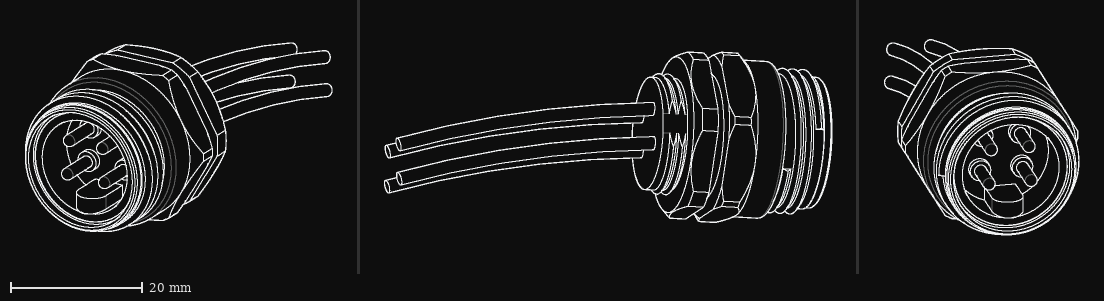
import cadquery as cq
import math


TOTAL_LENGTH = 67.2
ACROSS_FLATS = 24.0
BODY_RADIUS = ACROSS_FLATS / 2

COLLAR_FRONT = 7.85
FLANGE_FRONT = 12.4
FLANGE_REAR = 17.1
NUT_FRONT = 19.0
NUT_REAR = 22.6
BODY_REAR = 26.45

LIP_RADIUS = 10.0
RIM_CHAMFER = 0.3
COLLAR_ROUNDING = 0.55
SHANK_RADIUS = 10.2
SHANK_FRONT = 1.35

RIM_BORE_RADIUS = 9.3
RIM_BORE_DEPTH = 1.4
INSERT_RADIUS = 8.9
INSERT_FACE_DEPTH = 1.3
SOCKET_RADIUS = 7.6
SOCKET_DEPTH = 8.4

KEY_WIDTH = 4.85
KEY_TOP_Z = -5.0
KEY_TIP_DEPTH = 1.1

FLANGE_CORNER_RADIUS = 13.5
FLANGE_REAR_RADIUS = 12.55
FLANGE_REAR_CHAMFER = 0.6
NUT_CORNER_RADIUS = 12.95
NUT_CHAMFER = 1.1

SEAL_RADIUS = 10.0
SEAL_BULGE = 0.5

FRONT_PITCH = 1.6
FRONT_CREST_RADIUS = 11.1
FRONT_THREAD_START = 2.1
FRONT_THREAD_ANGLE = 180
FRONT_THREAD_TURNS = 2.9
FRONT_RIDGE_WIDTH = 1.35
REAR_PITCH = 1.4
REAR_ROOT_RADIUS = 8.6
REAR_CREST_RADIUS = 9.2
REAR_THREAD_START = 22.45
REAR_THREAD_ANGLE = -90
REAR_THREAD_TURNS = 2.4
REAR_RIDGE_WIDTH = 1.2
REAR_FLAT_SPACING = 16.9
RIDGE_OVERLAP = 0.1

UPPER_PIN_X = 2.95
UPPER_PIN_Z = 3.6
LOWER_PIN_X = 3.3
LOWER_PIN_Z = -1.95
PIN_RADIUS = 0.95
PIN_TIP_DEPTH = 0.75
PIN_COLLAR_RADIUS = 1.6
PIN_COLLAR_HEIGHT = 1.0
LOWER_WIRE_Z = -1.75
WIRE_RADIUS = 1.0
WIRE_BEND_START = 14.8
WIRE_BEND_RADIUS = 170.6


def rod(radius, front, rear, x=0, z=0):
    """Cylinder parallel to Y between two stations."""
    return cq.Workplane("XZ", origin=(x, front, z)).circle(radius).extrude(front - rear)


def revolved(points):
    """Turned shape from a closed (radius, Y) outline."""
    return cq.Workplane("XY").polyline(points).close().revolve(360, (0, 0, 0), (0, 1, 0))


def hexagon(front, rear, envelope):
    """Hexagonal prism with flats at top and bottom, its corners turned down to an envelope."""
    corner_diameter = ACROSS_FLATS / math.cos(math.pi / 6)
    prism = cq.Workplane("XZ", origin=(0, front, 0)).polygon(6, corner_diameter).extrude(front - rear)
    return prism.intersect(revolved(envelope))


def thread(root_radius, crest_radius, width, pitch, turns, start, start_angle):
    """Right-handed V ridge around Y; start_angle is measured from +X towards -Z."""
    base_radius = root_radius - RIDGE_OVERLAP
    path = cq.Wire.makeHelix(pitch, pitch * turns, base_radius)
    ridge = (
        cq.Workplane("XZ")
        .polyline([(base_radius, -width / 2), (crest_radius, 0), (base_radius, width / 2)])
        .close()
        .sweep(cq.Workplane(path), isFrenet=True)
    )
    ridge = ridge.rotate((0, 0, 0), (0, 0, 1), start_angle)
    return ridge.rotate((0, 0, 0), (1, 0, 0), -90).translate((0, start, 0))


def front_body():
    """Lip, threaded shank and collar turned in one piece, before the socket is bored."""
    lip = rod(LIP_RADIUS, 0, SHANK_FRONT).faces("<Y").chamfer(RIM_CHAMFER)
    collar = rod(BODY_RADIUS, COLLAR_FRONT, FLANGE_FRONT).faces("<Y").edges().fillet(COLLAR_ROUNDING)
    shank = rod(SHANK_RADIUS, SHANK_FRONT, COLLAR_FRONT)
    ridge = thread(
        SHANK_RADIUS, FRONT_CREST_RADIUS, FRONT_RIDGE_WIDTH,
        FRONT_PITCH, FRONT_THREAD_TURNS, FRONT_THREAD_START, FRONT_THREAD_ANGLE,
    )
    return shank.union(ridge).union(lip).union(collar)


def flange():
    """Fixed hexagon behind the collar, chamfered at 45 degrees towards the collar."""
    front_chamfer = FLANGE_CORNER_RADIUS - BODY_RADIUS
    return hexagon(FLANGE_FRONT, FLANGE_REAR, [
        (0, FLANGE_FRONT),
        (BODY_RADIUS, FLANGE_FRONT),
        (FLANGE_CORNER_RADIUS, FLANGE_FRONT + front_chamfer),
        (FLANGE_CORNER_RADIUS, FLANGE_REAR - FLANGE_REAR_CHAMFER),
        (FLANGE_REAR_RADIUS, FLANGE_REAR),
        (0, FLANGE_REAR),
    ])


def seal():
    """Disc whose rim bulges outwards between the flange and the nut."""
    edge_radius = SEAL_RADIUS - SEAL_BULGE
    return (
        cq.Workplane("XY")
        .moveTo(0, FLANGE_REAR)
        .lineTo(edge_radius, FLANGE_REAR)
        .threePointArc((SEAL_RADIUS, (FLANGE_REAR + NUT_FRONT) / 2), (edge_radius, NUT_FRONT))
        .lineTo(0, NUT_FRONT)
        .close()
        .revolve(360, (0, 0, 0), (0, 1, 0))
    )


def nut():
    """Lock nut, chamfered at 45 degrees on its rear side."""
    return hexagon(NUT_FRONT, NUT_REAR, [
        (0, NUT_FRONT),
        (NUT_CORNER_RADIUS, NUT_FRONT),
        (NUT_CORNER_RADIUS, NUT_REAR - NUT_CHAMFER),
        (NUT_CORNER_RADIUS - NUT_CHAMFER, NUT_REAR),
        (0, NUT_REAR),
    ])


def rear_end():
    """Threaded rear end with a flat on each side."""
    core = rod(REAR_ROOT_RADIUS, NUT_FRONT, BODY_REAR)
    ridge = thread(
        REAR_ROOT_RADIUS, REAR_CREST_RADIUS, REAR_RIDGE_WIDTH,
        REAR_PITCH, REAR_THREAD_TURNS, REAR_THREAD_START, REAR_THREAD_ANGLE,
    )
    between_flats = cq.Workplane("XY").box(REAR_FLAT_SPACING, 2 * BODY_REAR, ACROSS_FLATS)
    return core.union(ridge).intersect(between_flats)


def socket():
    """Space removed from the front: rim bore, ring around the insert, and the socket itself."""
    return revolved([
        (0, 0),
        (RIM_BORE_RADIUS, 0),
        (RIM_BORE_RADIUS, RIM_BORE_DEPTH),
        (INSERT_RADIUS, RIM_BORE_DEPTH),
        (INSERT_RADIUS, INSERT_FACE_DEPTH),
        (SOCKET_RADIUS, INSERT_FACE_DEPTH),
        (SOCKET_RADIUS, SOCKET_DEPTH),
        (0, SOCKET_DEPTH),
    ])


def key():
    """Rib at the bottom of the socket with a half-round front end."""
    half_width = KEY_WIDTH / 2
    shoulder = KEY_TIP_DEPTH + half_width
    return (
        cq.Workplane("XY", origin=(0, 0, KEY_TOP_Z))
        .moveTo(-half_width, SOCKET_DEPTH)
        .lineTo(-half_width, shoulder)
        .threePointArc((0, KEY_TIP_DEPTH), (half_width, shoulder))
        .lineTo(half_width, SOCKET_DEPTH)
        .close()
        .extrude(-SOCKET_RADIUS)
        .intersect(rod(SOCKET_RADIUS, 0, SOCKET_DEPTH))
    )


def pin(x, z):
    """Round-nosed contact pin standing on a low collar."""
    nose_center = PIN_TIP_DEPTH + PIN_RADIUS
    nose = cq.Workplane("XY").sphere(PIN_RADIUS).translate((x, nose_center, z))
    post = rod(PIN_RADIUS, nose_center, SOCKET_DEPTH, x, z)
    collar = rod(PIN_COLLAR_RADIUS, SOCKET_DEPTH - PIN_COLLAR_HEIGHT, SOCKET_DEPTH, x, z)
    return post.union(nose).union(collar)


def wire(x, z):
    """Lead bending downwards in one arc; the upper edge of its cut end is the rearmost point."""
    end_angle = math.asin((TOTAL_LENGTH - WIRE_BEND_START) / (WIRE_BEND_RADIUS + WIRE_RADIUS))
    return (
        cq.Workplane("XZ", origin=(x, WIRE_BEND_START, z))
        .circle(WIRE_RADIUS)
        .revolve(math.degrees(end_angle), (0, -WIRE_BEND_RADIUS, 0), (-1, -WIRE_BEND_RADIUS, 0))
    )


result = front_body().union(flange()).union(seal()).union(nut()).union(rear_end())
result = result.cut(socket()).union(key())
for side in (-1, 1):
    upper_x = side * UPPER_PIN_X
    lower_x = side * LOWER_PIN_X
    result = result.union(pin(upper_x, UPPER_PIN_Z)).union(wire(upper_x, UPPER_PIN_Z))
    result = result.union(pin(lower_x, LOWER_PIN_Z)).union(wire(lower_x, LOWER_WIRE_Z))